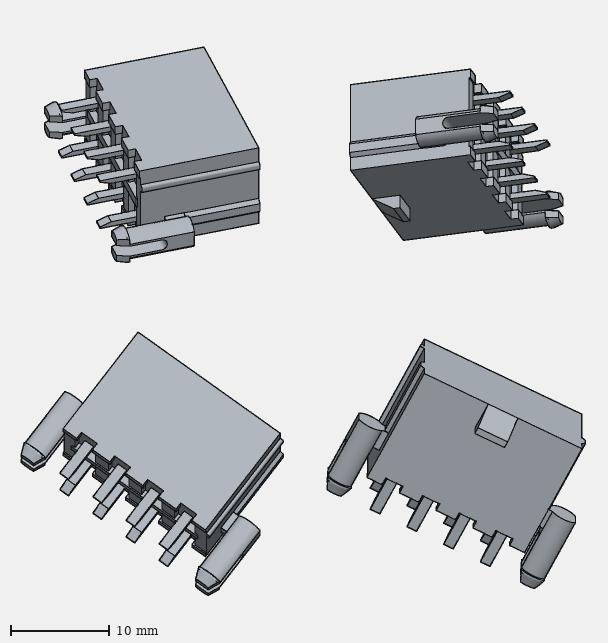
import cadquery as cq


COLUMNS = 4
PITCH = 4.2
END_MARGIN = 2.72
HOUSING_WIDTH = (COLUMNS - 1) * PITCH + 2 * END_MARGIN
HOUSING_DEPTH = 12.8
HOUSING_HEIGHT = 9.6

FACE_RECESS = 0.15
CHANNEL_DEPTH = 0.8
CHANNEL_WIDTH = 2.6
NOTCH_WIDTH = 2.0
FLANGE_HEIGHT = 0.97
BAR_WIDTH = 16.0
BAR_HEIGHT = 1.0

ROW_SPACING = 5.48
LOWER_ROW_Z = 1.85
TAIL_WIDTH = 1.1
TAIL_THICKNESS = 0.6
TAIL_REACH = 3.5
TAIL_TAPER = 1.2
TAIL_TIP_THICKNESS = 0.2

LATCH_WIDTH = 3.4
LATCH_LENGTH = 3.0
LATCH_DROP = 1.4
LATCH_FLAT = 0.7

RAIL_Z = 2.3
RAIL_PROJECTION = 0.4
RAIL_BASE_HEIGHT = 1.75
KEY_Z = 7.4
KEY_PROJECTION = 0.4
KEY_HEIGHT = 0.86
KEY_CORNER_RADIUS = 0.3

OVERALL_WIDTH = 24.78
PEG_WIDTH = 2.65
PEG_RADIUS = 1.58
PEG_BACK_Y = 4.8
PEG_TIP_Y = -3.36
HEAD_RADIUS = 1.9
HEAD_TIP_RADIUS = 1.58
HEAD_START_Y = -2.1
HEAD_RIM_LENGTH = 0.25
HEAD_TIP_WIDTH = 1.6
SLOT_HEIGHT = 1.26
SLOT_END_Y = 1.9
PEG_X = (OVERALL_WIDTH - PEG_WIDTH) / 2

WEB_LENGTH = 2.1
WEB_HEIGHT = 1.8
WEB_WAIST = 1.55

HALF_WIDTH = HOUSING_WIDTH / 2
COLUMN_X = [(i - (COLUMNS - 1) / 2) * PITCH for i in range(COLUMNS)]


def block(x_center, width, y_low, y_high, z_low, z_high):
    """Box centred on x_center in X, between the given Y and Z limits."""
    return (
        cq.Workplane("XY")
        .box(width, y_high - y_low, z_high - z_low, centered=(True, False, False))
        .translate((x_center, y_low, z_low))
    )


def prism_along_x(points, x_center, width):
    """Closed (y, z) outline extruded symmetrically about x_center."""
    return (
        cq.Workplane("YZ", origin=(x_center, 0, 0))
        .polyline(points)
        .close()
        .extrude(width / 2, both=True)
    )


def plane_facing_tails(y):
    """XZ work plane at y: local axes follow X and Z, extrusion runs toward -Y."""
    return cq.Workplane("XZ", origin=(0, y, 0))


def make_housing():
    """Block with a recessed tail face, contact channels and a raised cross bar."""
    flange_top = HOUSING_HEIGHT - FLANGE_HEIGHT
    middle = HOUSING_HEIGHT / 2
    housing = block(0, HOUSING_WIDTH, 0, HOUSING_DEPTH, 0, HOUSING_HEIGHT)
    housing = housing.cut(block(0, HOUSING_WIDTH, 0, FACE_RECESS, FLANGE_HEIGHT, flange_top))
    for x in COLUMN_X:
        housing = housing.cut(block(x, CHANNEL_WIDTH, 0, CHANNEL_DEPTH, FLANGE_HEIGHT, flange_top))
        housing = housing.cut(block(x, NOTCH_WIDTH, 0, CHANNEL_DEPTH, 0, HOUSING_HEIGHT))
    bar = block(0, BAR_WIDTH, 0, CHANNEL_DEPTH, middle - BAR_HEIGHT / 2, middle + BAR_HEIGHT / 2)
    return housing.union(bar)


def make_tail(x, z, tip_side):
    """Flat tail tapered to its upper (+1) or lower (-1) face, given by tip_side."""
    kept_face = z + tip_side * TAIL_THICKNESS / 2
    tapered_face = z - tip_side * TAIL_THICKNESS / 2
    outline = [
        (CHANNEL_DEPTH, kept_face),
        (-TAIL_REACH, kept_face),
        (-TAIL_REACH, kept_face - tip_side * TAIL_TIP_THICKNESS),
        (TAIL_TAPER - TAIL_REACH, tapered_face),
        (CHANNEL_DEPTH, tapered_face),
    ]
    return prism_along_x(outline, x, TAIL_WIDTH)


def make_latch():
    """Ramped wedge below the mating end of the housing."""
    step_y = HOUSING_DEPTH - LATCH_LENGTH
    outline = [
        (HOUSING_DEPTH, 0),
        (step_y + LATCH_FLAT, -LATCH_DROP),
        (step_y, -LATCH_DROP),
        (step_y, 0),
    ]
    return prism_along_x(outline, 0, LATCH_WIDTH)


def make_rail(side):
    """Bevelled rail on a side wall, from the mating end to the back of the peg."""
    wall = side * HALF_WIDTH
    crest = side * (HALF_WIDTH + RAIL_PROJECTION)
    half_base = RAIL_BASE_HEIGHT / 2
    half_crest = half_base - RAIL_PROJECTION
    return (
        plane_facing_tails(HOUSING_DEPTH)
        .moveTo(wall, RAIL_Z - half_base)
        .lineTo(crest, RAIL_Z - half_crest)
        .lineTo(crest, RAIL_Z + half_crest)
        .lineTo(wall, RAIL_Z + half_base)
        .close()
        .extrude(HOUSING_DEPTH - PEG_BACK_Y)
    )


def make_key_rib():
    """Rib with rounded corners along the +X wall, stopping at the recessed tail face."""
    rib = block(
        HALF_WIDTH,
        2 * KEY_PROJECTION,
        FACE_RECESS,
        HOUSING_DEPTH,
        KEY_Z - KEY_HEIGHT / 2,
        KEY_Z + KEY_HEIGHT / 2,
    )
    return rib.faces(">X").edges("|Y").fillet(KEY_CORNER_RADIUS)


def make_web(side):
    """Waisted web between a side wall and its peg."""
    inner = side * HALF_WIDTH
    outer = side * (PEG_X - PEG_WIDTH / 2)
    waist_x = (inner + outer) / 2
    low = RAIL_Z - WEB_HEIGHT / 2
    high = RAIL_Z + WEB_HEIGHT / 2
    return (
        plane_facing_tails(PEG_BACK_Y)
        .moveTo(inner, low)
        .threePointArc((waist_x, RAIL_Z - WEB_WAIST / 2), (outer, low))
        .lineTo(outer, high)
        .threePointArc((waist_x, RAIL_Z + WEB_WAIST / 2), (inner, high))
        .close()
        .extrude(WEB_LENGTH)
    )


def make_peg(side):
    """Flat-sided split peg with a barbed, tapered head."""
    half_width = PEG_WIDTH / 2
    profile = [
        (0, PEG_BACK_Y),
        (PEG_RADIUS, PEG_BACK_Y),
        (PEG_RADIUS, HEAD_START_Y),
        (HEAD_RADIUS, HEAD_START_Y),
        (HEAD_RADIUS, HEAD_START_Y - HEAD_RIM_LENGTH),
        (HEAD_TIP_RADIUS, PEG_TIP_Y),
        (0, PEG_TIP_Y),
    ]
    peg = cq.Workplane("XY").polyline(profile).close().revolve(360, (0, 0), (0, 1))

    plan = [
        (-half_width, PEG_BACK_Y),
        (half_width, PEG_BACK_Y),
        (half_width, HEAD_START_Y),
        (HEAD_TIP_WIDTH / 2, PEG_TIP_Y),
        (-HEAD_TIP_WIDTH / 2, PEG_TIP_Y),
        (-half_width, HEAD_START_Y),
    ]
    peg = peg.intersect(cq.Workplane("XY").polyline(plan).close().extrude(HEAD_RADIUS, both=True))

    slot_radius = SLOT_HEIGHT / 2
    arc_y = SLOT_END_Y - slot_radius
    slot = (
        cq.Workplane("YZ")
        .moveTo(PEG_TIP_Y, -slot_radius)
        .lineTo(arc_y, -slot_radius)
        .threePointArc((SLOT_END_Y, 0), (arc_y, slot_radius))
        .lineTo(PEG_TIP_Y, slot_radius)
        .close()
        .extrude(half_width, both=True)
    )
    return peg.cut(slot).translate((side * PEG_X, 0, RAIL_Z))


result = make_housing().union(make_latch()).union(make_key_rib())

for column in COLUMN_X:
    result = result.union(make_tail(column, LOWER_ROW_Z, -1))
    result = result.union(make_tail(column, LOWER_ROW_Z + ROW_SPACING, 1))

for wall_side in (-1, 1):
    result = result.union(make_rail(wall_side))
    result = result.union(make_web(wall_side))
    result = result.union(make_peg(wall_side))